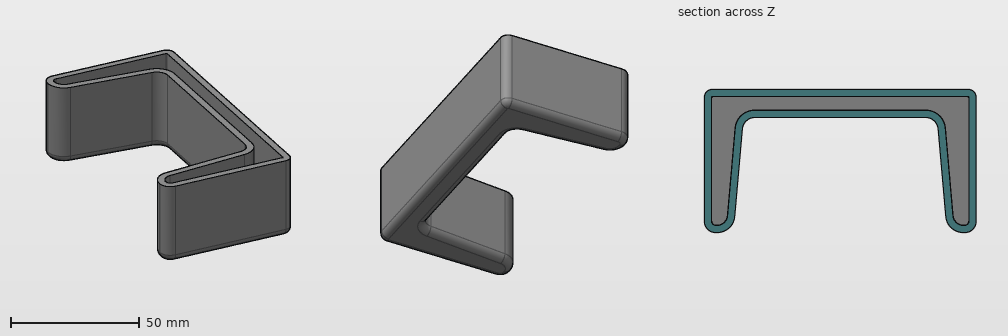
import cadquery as cq
import math

length = 106.0
depth = 56.0
height = 33.0

wall = 3.0
bottom_round = 3.0

bar_depth = 11.1
leg_tip_width = 11.5
leg_taper_degrees = 5.0

back_radius = 3.3
tip_outer_radius = 4.6
tip_inner_radius = 7.0
inside_corner_radius = 4.8

half_length = length / 2
back_y = depth / 2
tip_y = -depth / 2
bar_front_y = back_y - bar_depth
leg_length = depth - bar_depth
tip_inner_x = half_length - leg_tip_width
root_inner_x = tip_inner_x - leg_length * math.tan(math.radians(leg_taper_degrees))


def round_upright_edges(body, x, y, radius):
    """Round the mirrored pair of upright edges at +x and -x."""
    for edge_x in (-x, x):
        edge = cq.selectors.NearestToPointSelector((edge_x, y, height / 2))
        body = body.edges("|Z").edges(edge).fillet(radius)
    return body


def make_block():
    """Solid U-shaped block with rounded upright edges."""
    outline = [
        (-half_length, back_y),
        (half_length, back_y),
        (half_length, tip_y),
        (tip_inner_x, tip_y),
        (root_inner_x, bar_front_y),
        (-root_inner_x, bar_front_y),
        (-tip_inner_x, tip_y),
        (-half_length, tip_y),
    ]
    block = cq.Workplane("XY").polyline(outline).close().extrude(height)
    block = round_upright_edges(block, half_length, back_y, back_radius)
    block = round_upright_edges(block, half_length, tip_y, tip_outer_radius)
    block = round_upright_edges(block, tip_inner_x, tip_y, tip_inner_radius)
    return round_upright_edges(block, root_inner_x, bar_front_y, inside_corner_radius)


def make_cavity(block):
    """Open-topped hollow that leaves an even wall and a floor of the same thickness."""
    rim = block.faces(">Z").wires().val()
    inner_outline = rim.offset2D(-wall)[0]
    cavity_depth = height - wall
    return cq.Workplane("XY").add(inner_outline).toPending().extrude(-cavity_depth)


solid_block = make_block()
rounded_block = solid_block.faces("<Z").edges().fillet(bottom_round)
result = rounded_block.cut(make_cavity(solid_block))